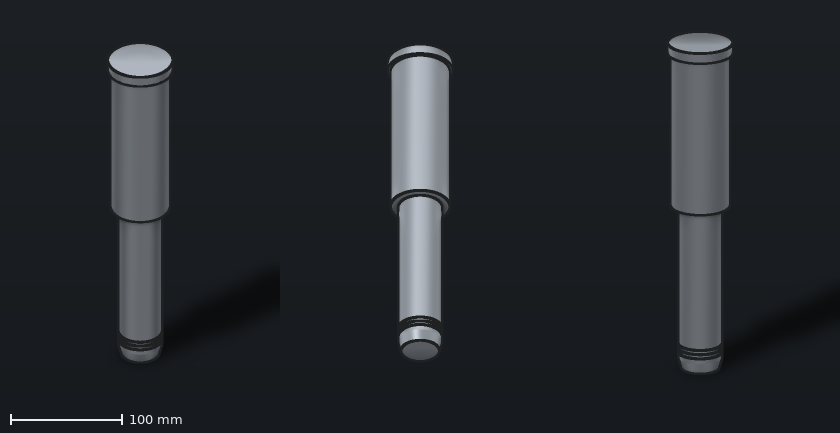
import cadquery as cq

TOTAL_LENGTH = 311.0
HEAD_HEIGHT = 10.0
SHOULDER_LENGTH = 146.0
HEAD_BOTTOM = TOTAL_LENGTH - HEAD_HEIGHT
SHOULDER_BOTTOM = HEAD_BOTTOM - SHOULDER_LENGTH

HEAD_RADIUS = 59.0 / 2
SHOULDER_RADIUS = 54.0 / 2
PIN_RADIUS = 40.0 / 2
TIP_RADIUS = 35.0 / 2

HEAD_CHAMFER = 0.5
SHOULDER_CHAMFER = 0.6
TIP_CHAMFER = 0.5

RELIEF_DEPTH = 0.3
RELIEF_WIDTH = 1.0

NOSE_LENGTH = 10.0

GROOVE_COUNT = 3
GROOVE_RADIUS = 0.5
GROOVE_PITCH = 4.0
LOWEST_GROOVE_HEIGHT = 15.5


def at(radius, height):
    """Point of the half section, which lies on the -X side of the axis."""
    return (-radius, height)


def body():
    """Head, shoulder, pin and nose turned from one half section."""
    shoulder_neck = SHOULDER_RADIUS - RELIEF_DEPTH
    shoulder_relief_bottom = HEAD_BOTTOM - RELIEF_WIDTH
    pin_neck = PIN_RADIUS - RELIEF_DEPTH
    pin_relief_bottom = SHOULDER_BOTTOM - RELIEF_WIDTH

    section = (
        cq.Workplane("XZ")
        .moveTo(*at(0, TOTAL_LENGTH))
        .lineTo(*at(HEAD_RADIUS - HEAD_CHAMFER, TOTAL_LENGTH))
        .lineTo(*at(HEAD_RADIUS, TOTAL_LENGTH - HEAD_CHAMFER))
        .lineTo(*at(HEAD_RADIUS, HEAD_BOTTOM))
        .lineTo(*at(shoulder_neck, HEAD_BOTTOM))
        .lineTo(*at(shoulder_neck, shoulder_relief_bottom + RELIEF_DEPTH))
        .lineTo(*at(SHOULDER_RADIUS, shoulder_relief_bottom))
        .lineTo(*at(SHOULDER_RADIUS, SHOULDER_BOTTOM + SHOULDER_CHAMFER))
        .lineTo(*at(SHOULDER_RADIUS - SHOULDER_CHAMFER, SHOULDER_BOTTOM))
        .lineTo(*at(pin_neck, SHOULDER_BOTTOM))
        .lineTo(*at(pin_neck, pin_relief_bottom + RELIEF_DEPTH))
        .lineTo(*at(PIN_RADIUS, pin_relief_bottom))
        .lineTo(*at(PIN_RADIUS, NOSE_LENGTH))
        .lineTo(*at(TIP_RADIUS, TIP_CHAMFER))
        .lineTo(*at(TIP_RADIUS - TIP_CHAMFER, 0))
        .lineTo(*at(0, 0))
        .close()
    )
    return section.revolve(360, (0, 0), (0, 1))


def groove(height):
    """Ring of round section, centred on the pin surface."""
    section = cq.Workplane("XZ").moveTo(*at(PIN_RADIUS, height)).circle(GROOVE_RADIUS)
    return section.revolve(360, (0, 0), (0, 1))


def grooved_body():
    """Turned body with the row of grooves cut into the pin."""
    turned = body()
    for index in range(GROOVE_COUNT):
        turned = turned.cut(groove(LOWEST_GROOVE_HEIGHT + index * GROOVE_PITCH))
    return turned


result = grooved_body()